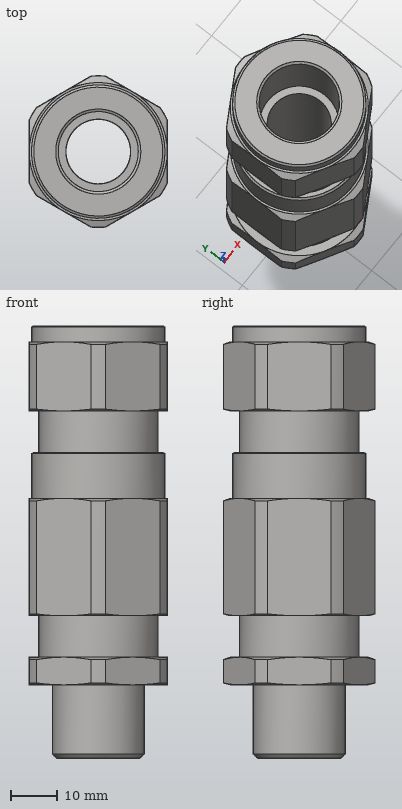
import cadquery as cq
import math

across_flats = 30.0
corner_radius = 16.49
hex_chamfer_radius = across_flats / 2
top_chamfer_height = 0.55
bottom_chamfer_height = 0.4

flange_bottom = 16.0
flange_top = 22.0
body_bottom = 31.0
body_top = 56.5
collar_top = 66.5
cap_bottom = 75.5
cap_top = 90.5
total_height = 94.0

entry_radius = 10.0
entry_chamfer_radial = 1.0
entry_chamfer_height = 1.0
neck_radius = 13.0
collar_radius = 14.5
rim_chamfer_radial = 0.5
rim_chamfer_height = 0.3

through_radius = 7.0
cable_bore_radius = 8.7
mouth_radius = 9.25
mouth_chamfer_height = 0.3
cable_bore_floor = cap_bottom


def turned(profile):
    """Revolve (radius, z) corner points, closed along the axis, about Z."""
    bottom = profile[0][1]
    top = profile[-1][1]
    points = [(0, bottom), *profile, (0, top)]
    return cq.Workplane("XZ").polyline(points).close().revolve(360, (0, 0), (0, 1))


def cylinder(radius, bottom, top):
    return turned([(radius, bottom), (radius, top)])


def hexagon(bottom, top):
    """Hexagonal section with turned corners and chamfered ends."""
    point_to_point = across_flats / math.cos(math.pi / 6)
    prism = (
        cq.Workplane("XY")
        .workplane(offset=bottom)
        .transformed(rotate=(0, 0, 30))
        .polygon(6, point_to_point)
        .extrude(top - bottom)
    )
    envelope = turned([
        (hex_chamfer_radius, bottom),
        (corner_radius, bottom + bottom_chamfer_height),
        (corner_radius, top - top_chamfer_height),
        (hex_chamfer_radius, top),
    ])
    return prism.intersect(envelope)


def rimmed_cylinder(bottom, top):
    """Collar-sized cylinder with a small chamfer round its top edge."""
    return turned([
        (collar_radius, bottom),
        (collar_radius, top - rim_chamfer_height),
        (collar_radius - rim_chamfer_radial, top),
    ])


def entry_spigot():
    """Lower end, chamfered at its tip."""
    return turned([
        (entry_radius - entry_chamfer_radial, 0),
        (entry_radius, entry_chamfer_height),
        (entry_radius, flange_bottom),
    ])


def stepped_bore():
    """Through hole that widens in the cap and flares at the mouth."""
    return turned([
        (through_radius, 0),
        (through_radius, cable_bore_floor),
        (cable_bore_radius, cable_bore_floor),
        (cable_bore_radius, total_height - mouth_chamfer_height),
        (mouth_radius, total_height),
    ])


outer_sections = [
    hexagon(flange_bottom, flange_top),
    cylinder(neck_radius, flange_top, body_bottom),
    hexagon(body_bottom, body_top),
    rimmed_cylinder(body_top, collar_top),
    cylinder(neck_radius, collar_top, cap_bottom),
    hexagon(cap_bottom, cap_top),
    rimmed_cylinder(cap_top, total_height),
]

result = entry_spigot()
for section in outer_sections:
    result = result.union(section)
result = result.cut(stepped_bore())